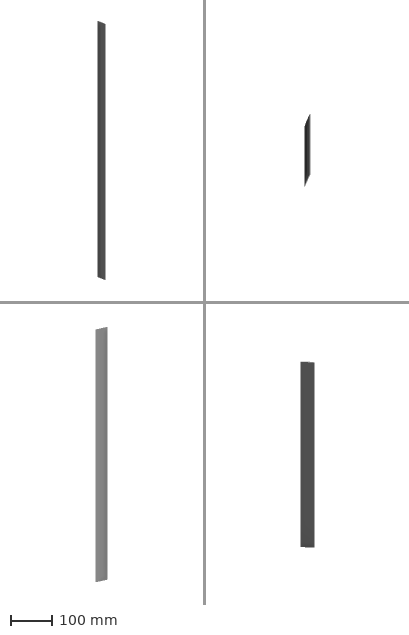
import cadquery as cq

length = 649.0
width = 35.0
thickness = 2.0

taper_width = 11.0
edge_thickness = 0.5

tilt_degrees = 12.88


def strip_section():
    """Cross-section with its flat front face along X and its square edge at X = 0."""
    taper_start = width - taper_width
    return cq.Workplane("XY").polyline(
        [
            (0, 0),
            (width, 0),
            (width, edge_thickness),
            (taper_start, thickness),
            (0, thickness),
        ]
    ).close()


def make_strip():
    """Extrude the section upward and tilt it about the corner of its square edge."""
    upright = strip_section().extrude(length)
    return upright.rotate((0, 0, 0), (0, 0, 1), tilt_degrees)


result = make_strip()